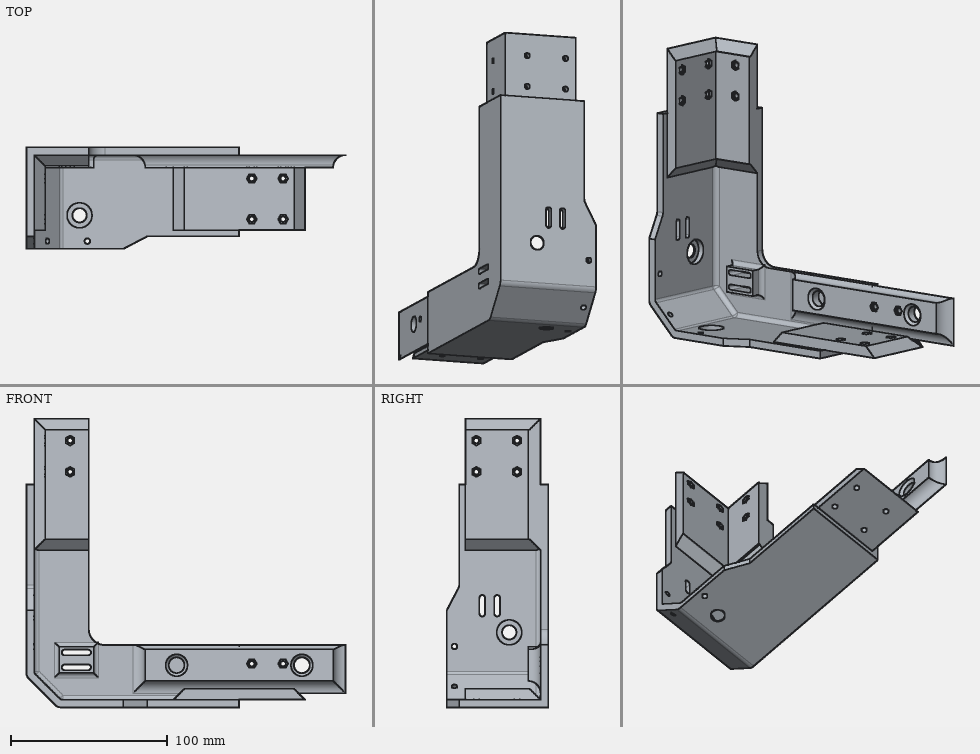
import cadquery as cq
import math

WALL = 5.0
DEPTH = 65.0
NARROW_DEPTH = 57.0
ARM_WIDTH = 40.0
SIDE_HEIGHT = 142.5
FLOOR_LENGTH = 136.0
CORNER_CHAMFER = 20.0
BEND_RADIUS = 5.0
ARM_CORNER_RADIUS = 10.0
INNER_RADIUS = 3.0

TAPER_START = 62.0
TAPER_END = 77.3
TAPER_RADIUS = 5.0

PAD_LENGTH = 84.0
PAD_HEIGHT = 7.0
BACK_PAD_STEP = 1.0
PAD_FRONT = 53.0
PAD_HOLE_OFFSETS = (8.0, 28.0)
PAD_HOLE_DEPTHS = (20.0, 46.0)
ARM_HOLE_OFFSET = 28.0

RAIL_LENGTH = 120.0
RAIL_BOTTOM = 17.0
RAIL_TOP = 37.2
RAIL_HEIGHT = 8.0
RAIL_HOLE_OFFSET = 40.0
RAIL_HOLE_DIAMETER = 10.0
RAIL_HOLE_MOUTH = 14.0

BLOCK_CENTER = (32.0, 30.4)
BLOCK_SIZE = (22.0, 16.6)
BLOCK_HEIGHT = 8.0
BLOCK_FOOT_RADIUS = 3.0
BLOCK_SLOT_LENGTH = 18.5

SLOT_WIDTH = 3.5
SLOT_SPACING = 9.5
SIDE_SLOT_LENGTH = 13.5
SIDE_SLOT_CENTER = (-37.5, 65.0)

SCREW_HOLE = 3.4
NUT_FLATS = 5.5
NUT_DEPTH = 1.5
EDGE_HOLE_Y = -60.0
EDGE_HOLE_OFFSET = 39.0

LARGE_HOLE = 9.0
SIDE_HOLE_CENTER = (-25.0, 48.0)
FLOOR_HOLE_CENTER = (34.0, -43.5)
BORE_DIAMETER = 16.0
BORE_DEPTH = 4.0

PAD_END_OFFSET = PAD_LENGTH / 2
RAIL_CENTER_Z = (RAIL_BOTTOM + ARM_WIDTH - INNER_RADIUS) / 2
NUT_CORNERS = NUT_FLATS / math.cos(math.radians(30))
QUARTER = math.sqrt(0.5)
BEYOND = 10.0


def hole(diameter, start, direction, length):
    """A cylinder for cutting a hole from start along direction."""
    cylinder = cq.Solid.makeCylinder(diameter / 2, length, cq.Vector(*start), cq.Vector(*direction))
    return cq.Workplane(obj=cylinder)


def nut_hole(surface_point, inward, thickness, corner_direction):
    """Screw hole with a hexagonal nut pocket, cut inward from a surface point."""
    plane = cq.Plane(origin=surface_point, xDir=corner_direction, normal=inward)
    pocket = cq.Workplane(plane).polygon(6, NUT_CORNERS).extrude(NUT_DEPTH)
    return pocket.union(hole(SCREW_HOLE, surface_point, inward, thickness))


def tray():
    """Back wall, side wall and floor, with rounded bends and inner fillets."""
    outer = (
        cq.Workplane("XZ")
        .polyline([
            (0, CORNER_CHAMFER),
            (0, SIDE_HEIGHT),
            (ARM_WIDTH, SIDE_HEIGHT),
            (ARM_WIDTH, ARM_WIDTH),
            (FLOOR_LENGTH, ARM_WIDTH),
            (FLOOR_LENGTH, 0),
            (CORNER_CHAMFER, 0),
        ])
        .close()
        .extrude(DEPTH)
    )
    bends = cq.selectors.BoxSelector((-1, -DEPTH, -1), (CORNER_CHAMFER + 1, 0, CORNER_CHAMFER + 1))
    outer = outer.edges("|Y").edges(bends).fillet(BEND_RADIUS)
    arm_corner = cq.selectors.NearestToPointSelector((ARM_WIDTH, -DEPTH / 2, ARM_WIDTH))
    outer = outer.edges("|Y").edges(arm_corner).fillet(ARM_CORNER_RADIUS)

    bend = CORNER_CHAMFER + WALL * (math.sqrt(2) - 1)
    far_x = FLOOR_LENGTH + BEYOND
    far_z = SIDE_HEIGHT + BEYOND
    cavity = (
        cq.Workplane("XZ", origin=(0, -WALL, 0))
        .polyline([(WALL, bend), (WALL, far_z), (far_x, far_z), (far_x, WALL), (bend, WALL)])
        .close()
        .extrude(DEPTH)
    )
    inner_bends = cq.selectors.BoxSelector((0, -2 * DEPTH, 0), (bend + 1, 0, bend + 1))
    cavity = cavity.edges("|Y").edges(inner_bends).fillet(INNER_RADIUS)
    cavity = cavity.faces(">Y").edges().fillet(INNER_RADIUS)
    return outer.cut(cavity)


def side_taper():
    """Material removed from the front of the side wall above its taper."""
    cutter = (
        cq.Workplane("YZ")
        .polyline([
            (-DEPTH, TAPER_START),
            (-NARROW_DEPTH, TAPER_END),
            (-NARROW_DEPTH, SIDE_HEIGHT),
            (-DEPTH, SIDE_HEIGHT),
        ])
        .close()
        .extrude(WALL)
    )
    bend = cq.selectors.NearestToPointSelector((WALL / 2, -NARROW_DEPTH, TAPER_END))
    return cutter.edges("|X").edges(bend).fillet(TAPER_RADIUS)


def floor_taper():
    """Material removed from the front of the floor beyond its taper."""
    return (
        cq.Workplane("XY")
        .polyline([
            (TAPER_START, -DEPTH),
            (TAPER_END, -NARROW_DEPTH),
            (FLOOR_LENGTH, -NARROW_DEPTH),
            (FLOOR_LENGTH, -DEPTH),
        ])
        .close()
        .extrude(WALL)
    )


def side_pad():
    """Pad on the inner face of the side wall."""
    low = SIDE_HEIGHT - PAD_END_OFFSET
    high = SIDE_HEIGHT + PAD_END_OFFSET
    top = WALL + PAD_HEIGHT
    return (
        cq.Workplane("XZ", origin=(0, -WALL, 0))
        .polyline([(WALL, low), (top, low + PAD_HEIGHT), (top, high - PAD_HEIGHT), (WALL, high)])
        .close()
        .extrude(PAD_FRONT - WALL)
    )


def back_pad():
    """Pad on the inner face of the upright arm; it meets the side pad in mitres."""
    low = SIDE_HEIGHT - PAD_END_OFFSET
    high = SIDE_HEIGHT + PAD_END_OFFSET
    top = -WALL - PAD_HEIGHT
    bevelled = (
        cq.Workplane("YZ", origin=(WALL, 0, 0))
        .polyline([(-WALL, low), (top, low + PAD_HEIGHT), (top, high - PAD_HEIGHT), (-WALL, high)])
        .close()
        .extrude(ARM_WIDTH - WALL)
    )
    side_pad_top = WALL + PAD_HEIGHT
    step_size = (ARM_WIDTH - side_pad_top, BACK_PAD_STEP, PAD_LENGTH - 2 * PAD_HEIGHT)
    step_corner = (side_pad_top, top - BACK_PAD_STEP, low + PAD_HEIGHT)
    step = cq.Workplane(origin=step_corner).box(*step_size, centered=False)
    return bevelled.union(step)


def floor_pad():
    """Pad on the floor; its bevelled back ends on the fillet along the back wall."""
    near = FLOOR_LENGTH - PAD_END_OFFSET
    far = FLOOR_LENGTH + PAD_END_OFFSET
    top = WALL + PAD_HEIGHT
    body = (
        cq.Workplane("XZ", origin=(0, -WALL, 0))
        .polyline([(near, WALL), (near + PAD_HEIGHT, top), (far - PAD_HEIGHT, top), (far, WALL)])
        .close()
        .extrude(PAD_FRONT - WALL)
    )
    fillet_center = WALL + INNER_RADIUS
    arc_middle = fillet_center - INNER_RADIUS * QUARTER
    arc_quarter_y = -fillet_center + INNER_RADIUS * math.cos(math.radians(22.5))
    arc_quarter_z = fillet_center - INNER_RADIUS * math.sin(math.radians(22.5))
    back_bevel = (
        cq.Workplane("YZ", origin=(near, 0, 0))
        .moveTo(-top, top)
        .lineTo(-WALL, top)
        .lineTo(-WALL, fillet_center)
        .threePointArc((arc_quarter_y, arc_quarter_z), (-arc_middle, arc_middle))
        .close()
        .extrude(PAD_LENGTH)
    )
    return body.cut(back_bevel)


def cove(profile, start, end, center):
    """Add to a profile the short concave arc from start to end about center."""
    radius = math.dist(start, center)
    mid_x = (start[0] + end[0]) / 2 - center[0]
    mid_y = (start[1] + end[1]) / 2 - center[1]
    scale = radius / math.hypot(mid_x, mid_y)
    return profile.threePointArc((center[0] + mid_x * scale, center[1] + mid_y * scale), end)


def coved_profile(plane, low, high, height, radius):
    """Profile of a raised block whose two ends run out to the back wall in coves.

    The block spans low to high across the plane's axis that is not Y.
    """
    front = -WALL - height
    foot = -WALL - radius

    def place(across, y):
        return (across, y) if plane == "XY" else (y, across)

    profile = cq.Workplane(plane).moveTo(*place(low - radius, -WALL))
    profile = cove(profile, place(low - radius, -WALL), place(low, foot), place(low - radius, foot))
    if height > radius:
        profile = profile.lineTo(*place(low, front))
    profile = profile.lineTo(*place(high, front))
    if height > radius:
        profile = profile.lineTo(*place(high, foot))
    profile = cove(profile, place(high, foot), place(high + radius, -WALL), place(high + radius, foot))
    return profile.close()


def rail():
    """Rail on the lying arm, running past its end, with coves on all four sides."""
    front = -WALL - RAIL_HEIGHT
    left = FLOOR_LENGTH - RAIL_LENGTH / 2
    right = FLOOR_LENGTH + RAIL_LENGTH / 2
    plan = coved_profile("XY", left, right, RAIL_HEIGHT, RAIL_HEIGHT).extrude(ARM_WIDTH)

    bottom = RAIL_BOTTOM - RAIL_HEIGHT
    cove_z = RAIL_TOP + RAIL_HEIGHT
    cove_y = -WALL - math.sqrt(RAIL_HEIGHT**2 - (cove_z - ARM_WIDTH) ** 2)
    section = cq.Workplane("YZ").moveTo(-WALL, bottom)
    section = cove(section, (-WALL, bottom), (front, RAIL_BOTTOM), (front, bottom))
    section = section.lineTo(front, RAIL_TOP).lineTo(cove_y, RAIL_TOP)
    section = cove(section, (cove_y, RAIL_TOP), (-WALL, ARM_WIDTH), (cove_y, cove_z))
    return plan.intersect(section.close().extrude(right + RAIL_HEIGHT))


def block():
    """Block in the corner with a coved foot all round."""
    center_x, center_z = BLOCK_CENTER
    half_x = BLOCK_SIZE[0] / 2
    half_z = BLOCK_SIZE[1] / 2
    plan = coved_profile("XY", center_x - half_x, center_x + half_x, BLOCK_HEIGHT, BLOCK_FOOT_RADIUS)
    section = coved_profile("YZ", center_z - half_z, center_z + half_z, BLOCK_HEIGHT, BLOCK_FOOT_RADIUS)
    return plan.extrude(2 * ARM_WIDTH).intersect(section.extrude(2 * ARM_WIDTH))


def block_slots():
    """Two slots through the block and the back wall."""
    center_x, center_z = BLOCK_CENTER
    return (
        cq.Workplane("XZ", origin=(center_x, 0, center_z))
        .rarray(1, SLOT_SPACING, 1, 2)
        .slot2D(BLOCK_SLOT_LENGTH, SLOT_WIDTH)
        .extrude(WALL + BLOCK_HEIGHT)
    )


def side_slots():
    """Two upright slots through the side wall."""
    center_y, center_z = SIDE_SLOT_CENTER
    return (
        cq.Workplane("YZ", origin=(0, center_y, center_z))
        .rarray(SLOT_SPACING, 1, 2, 1)
        .slot2D(SIDE_SLOT_LENGTH, SLOT_WIDTH, 90)
        .extrude(WALL)
    )


def nut_holes():
    """Screw holes with nut pockets in the pads and the rail."""
    cutters = cq.Workplane()
    top = WALL + PAD_HEIGHT
    rail_front = -WALL - RAIL_HEIGHT
    back_pad_front = -top - BACK_PAD_STEP
    back_pad_height = PAD_HEIGHT + BACK_PAD_STEP
    for offset in PAD_HOLE_OFFSETS:
        x = FLOOR_LENGTH + offset
        z = SIDE_HEIGHT + offset
        cutters.add(nut_hole((x, rail_front, ARM_HOLE_OFFSET), (0, 1, 0), RAIL_HEIGHT, (1, 0, 0)))
        cutters.add(nut_hole((ARM_HOLE_OFFSET, back_pad_front, z), (0, 1, 0), back_pad_height, (0, 0, 1)))
        for depth in PAD_HOLE_DEPTHS:
            cutters.add(nut_hole((x, -depth, top), (0, 0, -1), PAD_HEIGHT, (1, 0, 0)))
            cutters.add(nut_hole((top, -depth, z), (-1, 0, 0), PAD_HEIGHT, (0, 0, 1)))
    return cutters.combine()


def rail_holes():
    """Two countersunk holes through the rail; the back wall closes the one over the arm."""
    front = -WALL - RAIL_HEIGHT
    sink_depth = (RAIL_HOLE_MOUTH - RAIL_HOLE_DIAMETER) / 2
    cutters = cq.Workplane()
    for side in (-1, 1):
        start = (FLOOR_LENGTH + side * RAIL_HOLE_OFFSET, front, RAIL_CENTER_Z)
        sink = cq.Solid.makeCone(
            RAIL_HOLE_MOUTH / 2, RAIL_HOLE_DIAMETER / 2, sink_depth, cq.Vector(*start), cq.Vector(0, 1, 0)
        )
        cutters.add(hole(RAIL_HOLE_DIAMETER, start, (0, 1, 0), RAIL_HEIGHT).union(sink))
    return cutters.combine()


def wall_holes():
    """Counterbored holes and small edge holes in the side wall, the floor and the chamfer wall."""
    floor_x, floor_y = FLOOR_HOLE_CENTER
    middle = CORNER_CHAMFER / 2
    side_hole = hole(LARGE_HOLE, (0, *SIDE_HOLE_CENTER), (1, 0, 0), WALL)
    floor_hole = hole(LARGE_HOLE, (floor_x, floor_y, 0), (0, 0, 1), WALL)
    bore_start = (floor_x, floor_y, WALL - BORE_DEPTH)
    floor_bore = hole(BORE_DIAMETER, bore_start, (0, 0, 1), BORE_DEPTH)
    side_bore_start = (WALL - BORE_DEPTH, *SIDE_HOLE_CENTER)
    side_bore = hole(BORE_DIAMETER, side_bore_start, (1, 0, 0), BORE_DEPTH)
    side_edge = hole(SCREW_HOLE, (0, EDGE_HOLE_Y, EDGE_HOLE_OFFSET), (1, 0, 0), WALL)
    floor_edge = hole(SCREW_HOLE, (EDGE_HOLE_OFFSET, EDGE_HOLE_Y, 0), (0, 0, 1), WALL)
    chamfer_edge = hole(SCREW_HOLE, (middle, EDGE_HOLE_Y, middle), (1, 0, 1), WALL)
    large = side_hole.union(side_bore).union(floor_hole).union(floor_bore)
    return large.union(side_edge).union(floor_edge).union(chamfer_edge)


result = tray().cut(side_taper()).cut(floor_taper())
for raised in (side_pad(), back_pad(), floor_pad(), rail(), block()):
    result = result.union(raised)
for cutter in (block_slots(), side_slots(), nut_holes(), rail_holes(), wall_holes()):
    result = result.cut(cutter)